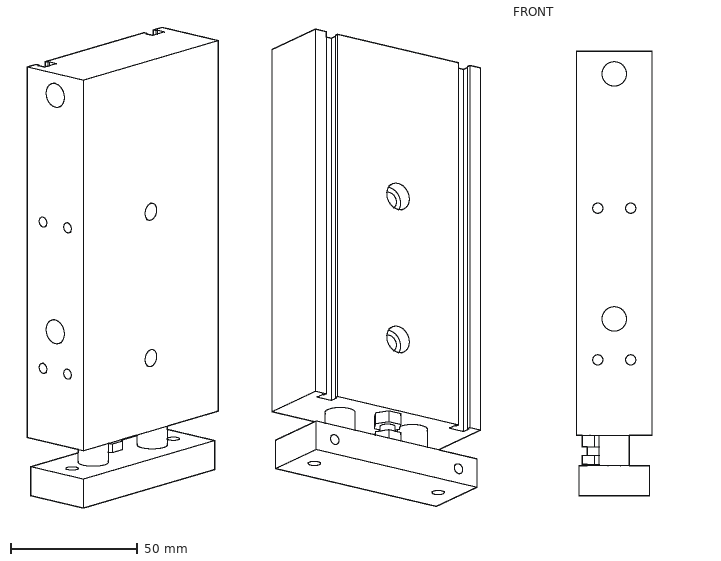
import cadquery as cq
import math

total_height = 176.0

housing_depth = 30.0
housing_width = 80.0
plate_height = 12.0
gap_height = 12.0
housing_bottom = plate_height + gap_height
housing_height = total_height - housing_bottom
mid_x = housing_depth / 2

slot_offset = 32.0
slot_mouth_width = 5.5
slot_inner_width = 6.9
slot_lip = 1.5
slot_depth = 5.3

mount_pitch = 60.0
lower_mount_height = 30.0
mount_levels = [housing_bottom + lower_mount_height + i * mount_pitch for i in range(2)]
mount_diameter = 6.9
counterbore_diameter = 11.0
counterbore_depth = 6.0
side_hole_diameter = 4.0
side_hole_spacing = 13.0
side_hole_depth = 8.0

port_diameter = 9.7
port_depth = 10.5
lower_port_height = 46.1
upper_port_drop = 9.0
port_levels = [housing_bottom + lower_port_height, total_height - upper_port_drop]

plate_depth = 28.0
plate_width = 78.0
plate_front = mid_x - plate_depth / 2
rod_diameter = 12.0
rod_spacing = 35.0
plate_hole_spacing = mount_pitch
plate_front_hole_diameter = 4.0
plate_front_hole_depth = 8.0
plate_through_hole_diameter = 5.0

bolt_x = 7.2
bolt_diameter = 6.0
hex_across_flats = 10.0
hex_across_corners = hex_across_flats / math.cos(math.pi / 6)
bolt_head_height = 4.5
nut_height = 3.5
nut_clearance = 0.5


def block(depth, width, height, x, z):
    """Box centred on Y, with its front face at x and its underside at z."""
    return cq.Workplane("XY").box(depth, width, height, centered=(False, True, False)).translate((x, 0, z))


def cylinder_x(diameter, length, x, y, z):
    """Cylinder running from (x, y, z) toward +X."""
    return cq.Workplane(cq.Solid.makeCylinder(diameter / 2, length, cq.Vector(x, y, z), cq.Vector(1, 0, 0)))


def cylinder_y(diameter, length, x, y, z):
    """Cylinder running from (x, y, z) toward +Y."""
    return cq.Workplane(cq.Solid.makeCylinder(diameter / 2, length, cq.Vector(x, y, z), cq.Vector(0, 1, 0)))


def cylinder_z(diameter, height, x, y, z):
    """Cylinder rising from (x, y, z)."""
    return cq.Workplane(cq.Solid.makeCylinder(diameter / 2, height, cq.Vector(x, y, z)))


def hexagon(height, z):
    """Hexagonal prism on the bolt axis, with corners pointing along Y."""
    prism = cq.Workplane("XY").polygon(6, hex_across_corners).extrude(height)
    return prism.rotate((0, 0, 0), (0, 0, 1), 90).translate((bolt_x, 0, z))


def t_slot(y):
    """Full-height T-slot: a narrow mouth opening into a wider channel."""
    mouth = block(slot_depth, slot_mouth_width, housing_height, 0, housing_bottom)
    channel = block(slot_depth - slot_lip, slot_inner_width, housing_height, slot_lip, housing_bottom)
    return mouth.union(channel).translate((0, y, 0))


def make_housing():
    """Slotted housing with mounting holes, side holes and ports."""
    body = block(housing_depth, housing_width, housing_height, 0, housing_bottom)
    side_y = -housing_width / 2
    for side in (-1, 1):
        body = body.cut(t_slot(side * slot_offset))
    for z in mount_levels:
        body = body.cut(cylinder_x(mount_diameter, housing_depth, 0, 0, z))
        body = body.cut(cylinder_x(counterbore_diameter, counterbore_depth, 0, 0, z))
        for side in (-1, 1):
            x = mid_x + side * side_hole_spacing / 2
            body = body.cut(cylinder_y(side_hole_diameter, side_hole_depth, x, side_y, z))
    for z in port_levels:
        body = body.cut(cylinder_y(port_diameter, port_depth, mid_x, side_y, z))
    return body


def make_rod_plate():
    """End plate and its two guide rods, which meet the housing's underside."""
    body = block(plate_depth, plate_width, plate_height, plate_front, 0)
    for side in (-1, 1):
        hole_y = side * plate_hole_spacing / 2
        body = body.union(cylinder_z(rod_diameter, gap_height, mid_x, side * rod_spacing / 2, plate_height))
        body = body.cut(cylinder_z(plate_through_hole_diameter, plate_height, mid_x, hole_y, 0))
        body = body.cut(
            cylinder_x(plate_front_hole_diameter, plate_front_hole_depth, plate_front, hole_y, plate_height / 2)
        )
    return body


def make_stopper_bolt():
    """Bolt between plate and housing: hexagonal head at the top, nut near the plate."""
    shank = cylinder_z(bolt_diameter, gap_height, bolt_x, 0, plate_height)
    head = hexagon(bolt_head_height, housing_bottom - bolt_head_height)
    nut = hexagon(nut_height, plate_height + nut_clearance)
    return shank.union(head).union(nut)


housing = make_housing()
rod_plate = make_rod_plate()
stopper_bolt = make_stopper_bolt()

result = cq.Compound.makeCompound([
    housing.solids().val(),
    rod_plate.solids().val(),
    stopper_bolt.solids().val(),
])